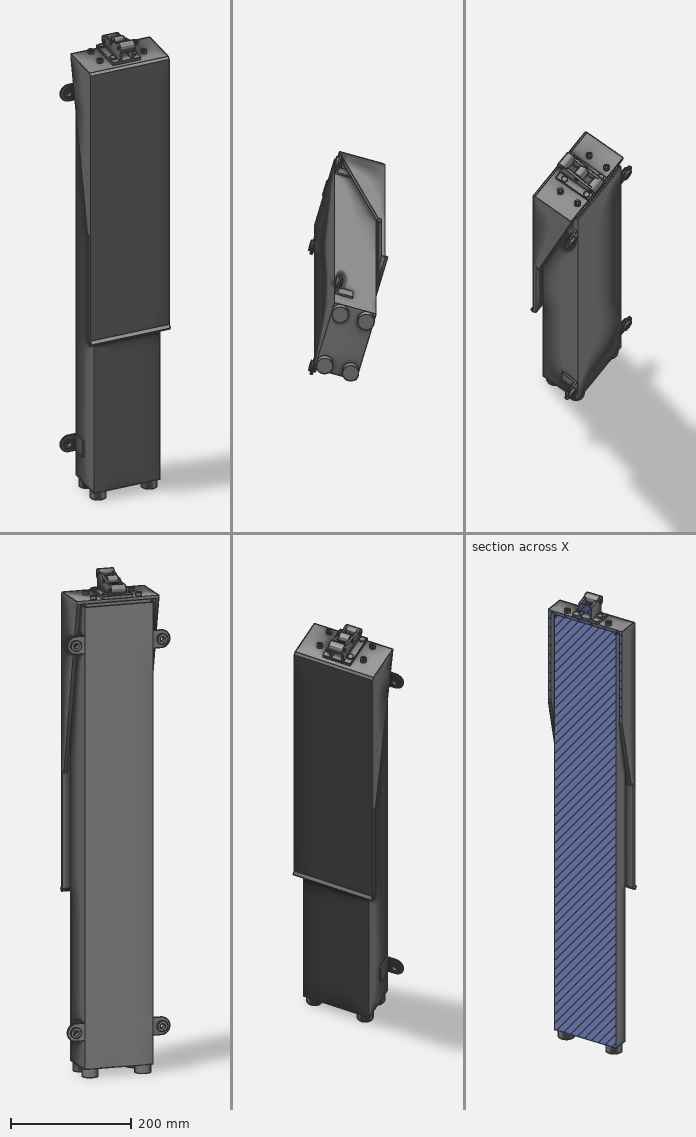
import cadquery as cq
import math


box_depth = 72.0
box_width = 120.0
box_top = 804.0
lid_inset = 2.5
lid_height = 5.0
foot_diameter = 27.0
foot_height = 15.0

lug_heights = (79.0, 740.0)
lug_size = 30.0
lug_reach = 29.95
lug_thickness = 3.0
lug_setback = 1.0
lug_hole_offset = 16.0
grommet_diameter = 18.0
grommet_tail_diameter = 16.0
grommet_hole = 9.0
grommet_front = 3.0
grommet_back = 6.0
grommet_tail_end = 8.0

cover_gap = 6.0
cover_wall = 6.0
cover_top_wall = 5.0
cover_corner = 4.0
cover_edge = 5.0
wall_bottom = 506.5
panel_bottom = 308.0
lip_run = 4.68
lip_angle = 45.0
pin_rows = (15.5, 51.5)
pin_offset = 40.0
pin_diameter = 10.0
pin_height = 5.0
pin_hole_depth = 2.5
pin_hole_diameter = 5.0

base_start = 4.0
base_end = 72.0
base_width = 50.0
base_thickness = 5.0
cheek_thickness = 4.0
roller_width = 18.0
roller_diameter = 18.0
cheek_flat_end = 23.0
total_height = 851.3
left_roller = (9.0, 827.5)
middle_roller = (38.0, 837.0)
right_roller = (68.2, total_height - roller_diameter / 2)
axle_diameter = 6.0
axle_overhang = 1.5
screw_rows = (12.0, 58.0)
screw_offset = 19.5
screw_diameter = 10.0
screw_height = 3.0

cover_inner_y = box_width / 2 + cover_gap
cover_outer_y = cover_inner_y + cover_wall
panel_inner = box_depth + cover_gap
panel_outer = panel_inner + cover_wall
cover_ceiling = box_top + lid_height
cover_top = cover_ceiling + cover_top_wall
base_top = cover_top + base_thickness
cheek_outer_y = roller_width / 2 + cheek_thickness


def block(x0, x1, y0, y1, z0, z1):
    """Axis-aligned block between two corners."""
    return cq.Workplane("XY").box(x1 - x0, y1 - y0, z1 - z0, centered=False).translate((x0, y0, z0))


def upright(x, y, z, diameter, height):
    """Vertical cylinder standing at height z."""
    return cq.Workplane("XY", origin=(x, y, z)).circle(diameter / 2).extrude(height)


def along_x(x0, x1, y, z, diameter):
    """Cylinder running along X."""
    return cq.Workplane("YZ", origin=(x0, y, z)).circle(diameter / 2).extrude(x1 - x0)


def along_y(place, diameter, width):
    """Cylinder along Y, centred on the mid plane."""
    x, z = place
    return cq.Workplane("XZ", origin=(x, width / 2, z)).circle(diameter / 2).extrude(width)


def make_lug(side, z):
    """Angle lug: plate on the box side, rounded ear and a grommet through the ear."""
    half = lug_size / 2
    side_face = box_width / 2
    tip = side_face + lug_reach
    hole_y = side_face + lug_hole_offset
    plate = block(lug_setback, lug_setback + lug_size, side_face, side_face + lug_thickness, z - half, z + half)
    ear = (
        cq.Workplane("YZ", origin=(lug_setback, 0, 0))
        .moveTo(side_face, z - half)
        .lineTo(tip - half, z - half)
        .threePointArc((tip, z), (tip - half, z + half))
        .lineTo(side_face, z + half)
        .close()
        .extrude(lug_thickness)
    )
    lug = plate.union(ear)
    lug = lug.union(along_x(-grommet_front, grommet_back, hole_y, z, grommet_diameter))
    lug = lug.union(along_x(grommet_back, grommet_tail_end, hole_y, z, grommet_tail_diameter))
    lug = lug.cut(along_x(-grommet_front, grommet_tail_end, hole_y, z, grommet_hole))
    return lug if side > 0 else lug.mirror("XZ")


def make_housing():
    """Tall box on four feet, with a slightly inset lid and four mounting lugs."""
    half_width = box_width / 2
    foot_inset = foot_diameter / 2
    housing = block(0, box_depth, -half_width, half_width, foot_height, box_top)
    lid_half = half_width - lid_inset
    lid = block(lid_inset, box_depth - lid_inset, -lid_half, lid_half, box_top, box_top + lid_height)
    housing = housing.union(lid)
    for x in (foot_inset, box_depth - foot_inset):
        for y in (foot_inset - half_width, half_width - foot_inset):
            housing = housing.union(upright(x, y, 0, foot_diameter, foot_height))
    for z in lug_heights:
        for side in (-1, 1):
            housing = housing.union(make_lug(side, z))
    return housing


def make_cover_pin(x, y):
    """Pin on the cover top with a blind hole in its end."""
    pin = upright(x, y, cover_top, pin_diameter, pin_height)
    hole = upright(x, y, cover_top + pin_height - pin_hole_depth, pin_hole_diameter, pin_hole_depth)
    return pin.cut(hole)


def make_cover():
    """Bent cover: top plate, tapering side walls and a long panel ending in an outward lip."""
    edge_drop = cover_wall * math.sin(math.radians(lip_angle))
    lip_tip_x = panel_outer + lip_run
    inner_lip_run = lip_tip_x - edge_drop - panel_inner
    lip_bottom = panel_bottom - inner_lip_run
    lip_tip_z = lip_bottom + edge_drop
    side_outline = [
        (cover_edge, cover_top),
        (panel_outer - cover_corner, cover_top),
        (panel_outer, cover_top - cover_corner),
        (panel_outer, lip_tip_z + lip_run),
        (lip_tip_x, lip_tip_z),
        (lip_tip_x - edge_drop, lip_bottom),
        (panel_inner, panel_bottom),
        (panel_inner, wall_bottom),
        (box_depth, wall_bottom),
        (cover_edge, cover_ceiling),
    ]
    cover = cq.Workplane("XZ").polyline(side_outline).close().extrude(cover_outer_y, both=True)
    cover = cover.cut(block(0, panel_inner, -cover_inner_y, cover_inner_y, wall_bottom, cover_ceiling))
    for x in pin_rows:
        for y in (-pin_offset, pin_offset):
            cover = cover.union(make_cover_pin(x, y))
    return cover


def make_cheeks():
    """Pair of cheek plates joining the left and right roller ends above the base."""
    radius = roller_diameter / 2
    slant_start = (cheek_flat_end, left_roller[1] + radius)
    outline = [
        (left_roller[0], left_roller[1] - radius),
        (left_roller[0], slant_start[1]),
        slant_start,
        (right_roller[0] - radius, right_roller[1] + radius / 2),
        right_roller,
        (base_end, right_roller[1]),
        (base_end, cover_top),
        (left_roller[0], cover_top),
    ]
    cheeks = cq.Workplane("XZ").polyline(outline).close().extrude(cheek_outer_y, both=True)
    for end in (left_roller, right_roller):
        cheeks = cheeks.union(along_y(end, roller_diameter, 2 * cheek_outer_y))
    right_end = right_roller[0] + radius
    opening = block(0, right_end, -roller_width / 2, roller_width / 2, base_top, total_height)
    return cheeks.cut(opening)


def make_bracket():
    """Base plate, cheeks, three rollers with axles and four base screws."""
    half = base_width / 2
    bracket = block(base_start, base_end, -half, half, cover_top, base_top)
    bracket = bracket.union(make_cheeks())
    for place in (left_roller, middle_roller, right_roller):
        bracket = bracket.union(along_y(place, roller_diameter, roller_width))
        bracket = bracket.union(along_y(place, axle_diameter, 2 * (cheek_outer_y + axle_overhang)))
    for x in screw_rows:
        for y in (-screw_offset, screw_offset):
            bracket = bracket.union(upright(x, y, base_top, screw_diameter, screw_height))
    return bracket


housing = make_housing()
cover = make_cover()
bracket = make_bracket()

result = cq.Compound.makeCompound([housing.val(), cover.val(), bracket.val()])